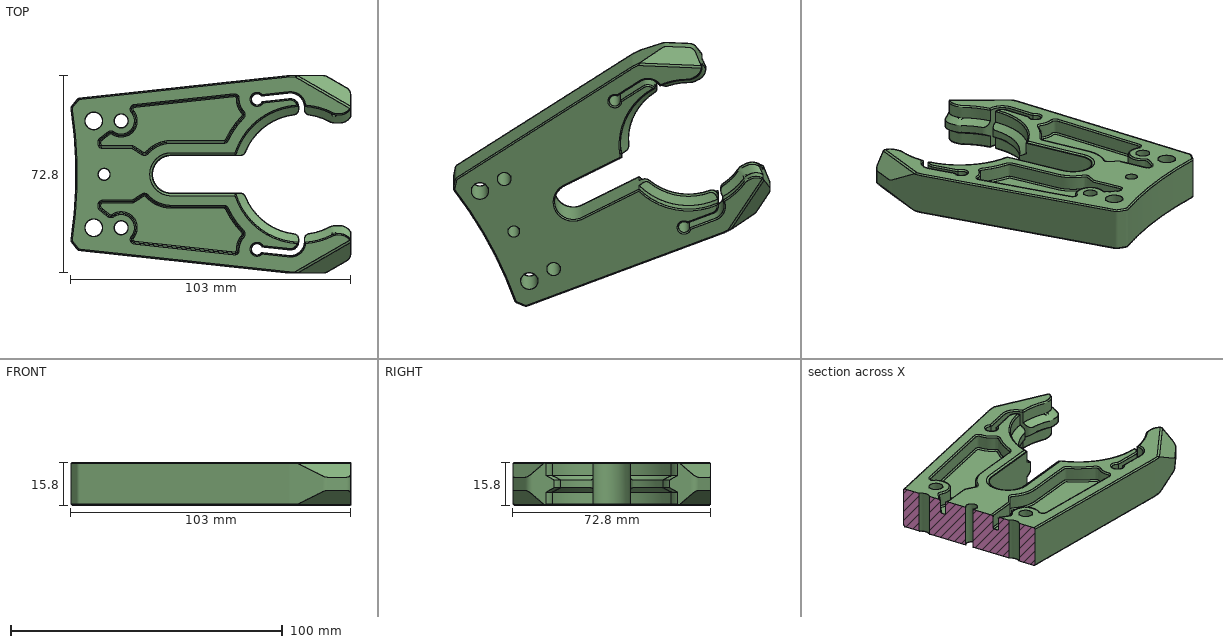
import cadquery as cq
import math


thickness = 15.8
half_height = thickness / 2
length = 102.9
half_width = 36.38
edge_chamfer = 0.5
wall = 5.0

back_corner_x = -0.15
back_corner_y = 24.6
back_hollow_x = 1.7
side_start_x = 2.6
side_start_y = 28.0
side_end_x = 80.4
bevel_start_x = 93.5
bevel_angle = math.radians(30)
back_corner_radius = 1.5
tip_corner_radius = 3.1
tip_bevel = 5.51
side_slope = (half_width - side_start_y) / (side_end_x - side_start_x)
side_angle = math.atan(side_slope)

tool_x = 84.6
ridge_radius = 22.0
groove_depth = 3.0
ridge_half_height = 1.39
ramp_height = groove_depth * math.tan(math.radians(30))
mouth_half_width = 18.8
mouth_flat_end_x = 98.8
mouth_round_radius = 4.7
ridge_corner_radius = 2.1
slot_half_width = 6.9
slot_center_x = 36.8

spring_hole_x = 68.4
spring_hole_y = 27.6
spring_hole_radius = 2.1
spring_slot_width = 2.1
spring_exit_x = 84.8
spring_bend_radius = 4.1

hole_y = 19.7
bolt_hole_x = 8.3
bolt_hole_diameter = 6.4
pin_hole_x = 18.4
pin_hole_diameter = 5.0
center_hole_x = 12.1
center_hole_diameter = 4.3

pocket_depth = 5.8
pocket_floor_chamfer = 0.5
pocket_corner_radius = 1.2
pin_boss_diameter = 10.8
pocket_left_x = 10.4
pocket_left_y = 10.03
pocket_left_top_y = 12.5
pocket_step_x = 22.6
pocket_step_slope = -0.65
pocket_lobe_slope = 0.79
pocket_lobe_inset = 1.5


def prism(points, z_start, height):
    return cq.Workplane("XY", origin=(0, 0, z_start)).polyline(points).close().extrude(height)


def disc(x, y, radius, z_start, height):
    return cq.Workplane("XY", origin=(x, y, z_start)).circle(radius).extrude(height)


def both_sides(solid):
    return solid.union(solid.mirror("XZ"))


def round_upright_edge(solid, x, y, radius):
    reach = 0.05
    box = cq.selectors.BoxSelector((x - reach, y - reach, -thickness), (x + reach, y + reach, thickness))
    return solid.edges("|Z").edges(box).fillet(radius)


def make_blank():
    """Upper half of the plate with the hollow back edge, tapered sides and bevelled jaw tips."""
    bevel_end_y = half_width - (length - bevel_start_x) * math.tan(bevel_angle)
    side = [
        (side_start_x, side_start_y),
        (side_end_x, half_width),
        (bevel_start_x, half_width),
        (length, bevel_end_y),
    ]
    far_side = [(x, -y) for x, y in reversed(side)]
    blank = (
        cq.Workplane("XY")
        .moveTo(back_corner_x, -back_corner_y)
        .threePointArc((back_hollow_x, 0), (back_corner_x, back_corner_y))
    )
    for point in side + far_side:
        blank = blank.lineTo(*point)
    blank = blank.close().extrude(half_height)

    back_edges = cq.selectors.BoxSelector((-1, -51.5, 0), (side_start_x + 1, 51.5, half_height))
    tip_edges = cq.selectors.BoxSelector((bevel_start_x - 1, -51.5, 0), (length + 1, 51.5, half_height))
    blank = blank.edges("|Z").edges(back_edges).fillet(back_corner_radius)
    blank = blank.edges("|Z").edges(tip_edges).fillet(tip_corner_radius)

    reach = tip_bevel + 2.1
    break_y = edge_chamfer * math.cos(math.radians(45)) - tip_bevel
    run = 30.9
    cutter = (
        cq.Workplane("YZ")
        .polyline([
            (-tip_bevel - edge_chamfer, half_height),
            (break_y, half_height - (break_y + tip_bevel)),
            (reach - tip_bevel, half_height - reach),
            (reach - tip_bevel, half_height),
        ])
        .close()
        .extrude(run, both=True)
        .rotate((0, 0, 0), (0, 0, 1), -math.degrees(bevel_angle))
        .translate((bevel_start_x, half_width, 0))
    )
    return blank.cut(both_sides(cutter))


def on_jaw_tip(edge):
    """True for straight rim edges that end at the jaw tips, where the bevels meet the ends."""
    return edge.geomType() == "LINE" and edge.BoundingBox().xmax > length - 0.1


def make_spring_slot():
    """Slot from the round relief hole, along the side and round into the throat."""
    bend_x = spring_exit_x - spring_bend_radius
    bend_start_x = bend_x - spring_bend_radius * math.sin(side_angle)
    bend_start_y = spring_hole_y + (bend_start_x - spring_hole_x) * side_slope
    bend_y = bend_start_y - spring_bend_radius * math.cos(side_angle)
    half = spring_slot_width / 2
    outer = spring_bend_radius + half
    inner = spring_bend_radius - half
    start_angle = math.pi / 2 + side_angle
    middle_angle = start_angle / 2

    def on_bend(radius, angle):
        return (bend_x + radius * math.cos(angle), bend_y + radius * math.sin(angle))

    def beside_hole(offset):
        return (
            spring_hole_x - offset * math.sin(side_angle),
            spring_hole_y + offset * math.cos(side_angle),
        )

    slot = (
        cq.Workplane("XY")
        .moveTo(*beside_hole(half))
        .lineTo(*on_bend(outer, start_angle))
        .threePointArc(on_bend(outer, middle_angle), on_bend(outer, 0))
        .lineTo(bend_x + outer, mouth_half_width)
        .lineTo(bend_x + inner, mouth_half_width)
        .lineTo(*on_bend(inner, 0))
        .threePointArc(on_bend(inner, middle_angle), on_bend(inner, start_angle))
        .lineTo(*beside_hole(-half))
        .close()
        .extrude(half_height)
    )
    return slot.union(disc(spring_hole_x, spring_hole_y, spring_hole_radius, 0, half_height))


def make_jaw_opening(setback, end_setback, z_start, height):
    """Round seat and flared mouth between the jaws; the setback behind the ridge grows with height."""
    seat_radius = ridge_radius + setback
    end_radius = ridge_radius + end_setback
    seat_base = cq.Vector(tool_x, 0, z_start)
    if end_setback > setback:
        seat = cq.Workplane(cq.Solid.makeCone(seat_radius, end_radius, height, seat_base))
    else:
        seat = cq.Workplane(cq.Solid.makeCylinder(seat_radius, height, seat_base))

    mouth_y = mouth_half_width + setback
    overlap_y = -5.1
    outside_x = length + 10.3
    round_y = mouth_y + mouth_round_radius
    round_angle = math.asin((length - mouth_flat_end_x) / mouth_round_radius)

    def on_round(angle):
        return (
            mouth_flat_end_x + mouth_round_radius * math.sin(angle),
            round_y - mouth_round_radius * math.cos(angle),
        )

    round_end = on_round(round_angle)
    mouth_outline = (
        cq.Workplane("XY", origin=(0, 0, z_start))
        .moveTo(tool_x, overlap_y)
        .lineTo(tool_x, mouth_y)
        .lineTo(mouth_flat_end_x, mouth_y)
        .threePointArc(on_round(round_angle / 2), round_end)
        .lineTo(outside_x, round_end[1])
        .lineTo(outside_x, overlap_y)
        .close()
        .wires()
        .val()
    )
    slant = cq.Vector(0, end_setback - setback, height)
    mouth = cq.Workplane(cq.Solid.extrudeLinear(mouth_outline, [], slant))
    return seat.union(both_sides(mouth))


def cut_throat(body):
    """Opening with a ridge round the middle of the jaws, ramped back towards the face."""
    half_slot = spring_slot_width / 2
    slot_length = tool_x - slot_center_x
    slot = (
        cq.Workplane("XY", origin=(slot_center_x + slot_length / 2, 0, 0))
        .rect(slot_length, 2 * slot_half_width)
        .extrude(half_height)
        .union(disc(slot_center_x, 0, slot_half_width, 0, half_height))
    )
    throat = (
        make_jaw_opening(0, 0, 0, half_height)
        .union(slot)
        .union(both_sides(make_spring_slot()))
        .clean()
    )
    corners = [(tool_x - math.sqrt(ridge_radius**2 - slot_half_width**2), slot_half_width)]
    for x in (spring_exit_x - half_slot, spring_exit_x + half_slot):
        corners.append((x, math.sqrt(ridge_radius**2 - (x - tool_x) ** 2)))
    for x, y in corners:
        for y_side in (1, -1):
            throat = round_upright_edge(throat, x, y_side * y, ridge_corner_radius)
    body = body.cut(throat)
    rims = body.faces(">Z").edges().filter(lambda edge: not on_jaw_tip(edge))
    body = rims.chamfer(edge_chamfer)

    ramp_top = ridge_half_height + ramp_height
    wall_top = half_height - edge_chamfer
    rim_setback = groove_depth + edge_chamfer
    body = body.cut(make_jaw_opening(0, groove_depth, ridge_half_height, ramp_height))
    body = body.cut(make_jaw_opening(groove_depth, groove_depth, ramp_top, wall_top - ramp_top))
    body = body.cut(make_jaw_opening(groove_depth, rim_setback, wall_top, edge_chamfer))
    return body


def round_jaw_lips(body):
    """Round the edges where the seat meets the flat jaw ends, from the ridge up to the rim."""
    low_y = mouth_half_width
    high_y = mouth_half_width + groove_depth + edge_chamfer
    lip_x = tool_x + math.sqrt(ridge_radius**2 - low_y**2)

    def on_lip(edge):
        center = edge.Center()
        near = abs(center.x - lip_x - 0.5) < 1 and low_y - 0.1 < abs(center.y) < high_y
        return near and edge.BoundingBox().zlen > 0.1

    return body.edges().filter(on_lip).fillet(mouth_round_radius)


def make_pocket():
    """Pocket whose walls keep clear of the throat, the spring slot and the pin hole."""
    floor_z = half_height - pocket_depth
    far_x = spring_hole_x
    side_offset = wall / math.cos(side_angle)

    def top_y(x):
        return side_start_y + (x - side_start_x) * side_slope - side_offset

    lobe_end_x = pin_hole_x - pocket_lobe_inset
    pocket = prism(
        [
            (pocket_left_x, pocket_left_y),
            (pocket_step_x, pocket_left_y),
            (slot_center_x, pocket_left_y + (slot_center_x - pocket_step_x) * pocket_step_slope),
            (far_x, 0),
            (far_x, top_y(far_x)),
            (pin_hole_x, top_y(pin_hole_x)),
            (lobe_end_x, pocket_left_top_y + (lobe_end_x - pocket_left_x) * pocket_lobe_slope),
            (pocket_left_x, pocket_left_top_y),
        ],
        floor_z,
        pocket_depth,
    )
    slot_clearance = slot_half_width + wall
    keep_outs = [
        (pin_hole_x, hole_y, pin_boss_diameter / 2),
        (slot_center_x, 0, slot_clearance),
        (spring_hole_x, spring_hole_y, spring_hole_radius + wall),
        (tool_x, 0, ridge_radius + groove_depth + wall),
    ]
    for x, y, radius in keep_outs:
        pocket = pocket.cut(disc(x, y, radius, floor_z, pocket_depth))
    slot_keep_out = (
        cq.Workplane("XY", origin=(far_x, 0, floor_z))
        .rect(2 * (far_x - slot_center_x), 2 * slot_clearance)
        .extrude(pocket_depth)
    )
    pocket = pocket.cut(slot_keep_out)

    corners = pocket.edges("|Z").filter(lambda edge: abs(edge.Center().x - slot_center_x) > 0.1)
    pocket = corners.fillet(pocket_corner_radius)
    return pocket.faces("<Z").edges().chamfer(pocket_floor_chamfer)


body = cut_throat(make_blank())
body = round_jaw_lips(body)
body = body.union(body.mirror("XY"))

body = body.cut(both_sides(make_pocket()))
pocket_rims = cq.selectors.BoxSelector(
    (pocket_left_x, -hole_y - 9.3, half_height - 0.1),
    (spring_hole_x - 3.1, hole_y + 9.3, half_height + 0.1),
)
body = body.faces(">Z").edges(pocket_rims).chamfer(edge_chamfer)

holes = [
    (bolt_hole_x, hole_y, bolt_hole_diameter),
    (bolt_hole_x, -hole_y, bolt_hole_diameter),
    (pin_hole_x, hole_y, pin_hole_diameter),
    (pin_hole_x, -hole_y, pin_hole_diameter),
    (center_hole_x, 0, center_hole_diameter),
]
for x, y, diameter in holes:
    body = body.cut(disc(x, y, diameter / 2, -half_height, thickness))

result = body